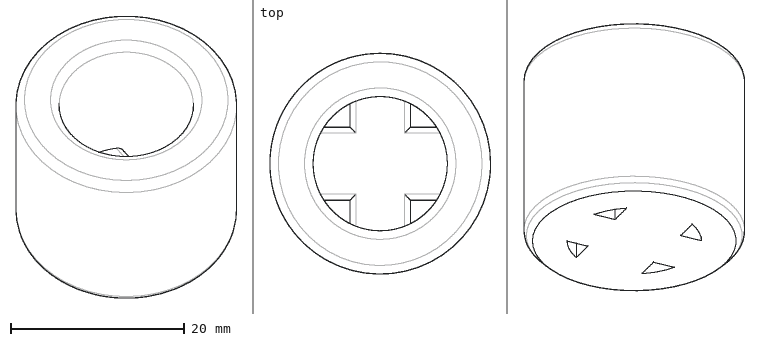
import cadquery as cq

outer_diameter = 25.5
height = 22.0
bore_diameter = 15.5
edge_radius = 1.0
bottom_chamfer = 1.0

bar_along_x_width = 8.47
bar_along_y_width = 7.0
cross_thickness = 3.0
cross_edge_radius = 0.71

outer_radius = outer_diameter / 2
bore_radius = bore_diameter / 2


def circle_at(level):
    """Selector for the full circles centred on the axis at the given height."""
    reach = 0.13
    return cq.selectors.BoxSelector(
        (-reach, -reach, level - reach), (reach, reach, level + reach)
    )


def make_body():
    """Outer cylinder with a rounded top rim and a chamfered, blended bottom."""
    body = cq.Workplane("XY").circle(outer_radius).extrude(height)
    body = body.faces(">Z").edges().fillet(edge_radius)
    body = body.faces("<Z").edges().chamfer(bottom_chamfer)
    shoulder = circle_at(bottom_chamfer)
    return body.edges(shoulder).fillet(edge_radius)


def make_sleeve():
    """Body with a through bore and a rounded bore mouth."""
    bore = cq.Workplane("XY").circle(bore_radius).extrude(height)
    mouth = cq.selectors.RadiusNthSelector(0)
    return make_body().cut(bore).faces(">Z").edges(mouth).fillet(edge_radius)


def make_cross():
    """Two crossed bars with rounded upper edges, trimmed to end inside the sleeve wall."""
    bar_length = bore_radius + outer_radius
    bar_x = cq.Workplane("XY").box(
        bar_length, bar_along_x_width, cross_thickness, centered=(True, True, False)
    )
    bar_y = cq.Workplane("XY").box(
        bar_along_y_width, bar_length, cross_thickness, centered=(True, True, False)
    )
    cross = bar_x.union(bar_y).faces(">Z").edges().fillet(cross_edge_radius)
    trim_radius = (bore_radius + bar_length / 2) / 2
    trim = cq.Workplane("XY").circle(trim_radius).extrude(cross_thickness)
    return cross.intersect(trim)


result = make_sleeve().union(make_cross())